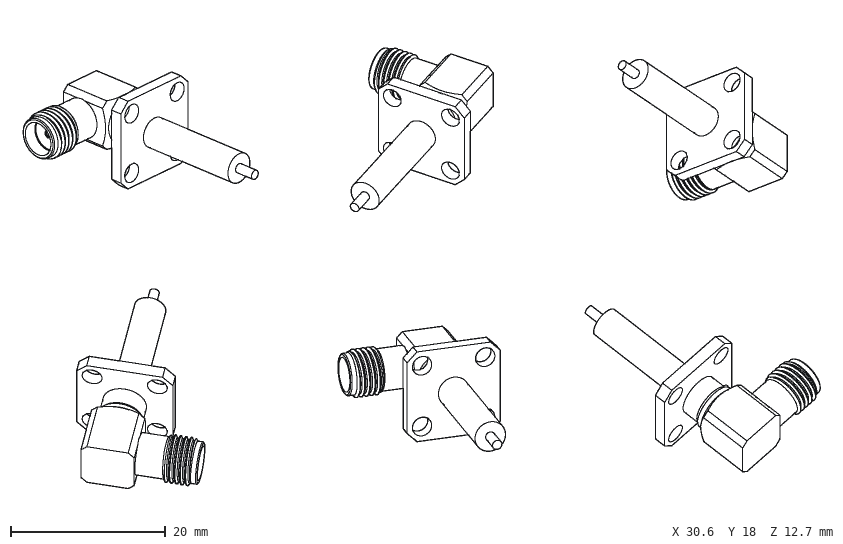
import cadquery as cq

total_length = 30.6

block_width = 7.05
block_edge_chamfer = 0.8
block_flat_end = 7.47
corner_cone_start = 6.92

collar_start = 7.68
collar_bevel_start = 8.32
neck_start = 8.75
collar_radius = 3.18
neck_radius = 2.88

flange_start = 11.17
flange_thickness = 1.65
flange_width = 12.7
flange_corner_chamfer = 1.35
mount_hole_diameter = 2.6
mount_hole_spacing = 8.6

cable_end = 27.8
cable_radius = 2.08
conductor_radius = 0.65

thread_radius = 3.15
barrel_x = thread_radius
barrel_radius = 2.78
total_depth = 18.02
barrel_length = total_depth - flange_width / 2
barrel_end_chamfer = 0.15

thread_pitch = 0.7
thread_root_width = 0.6
thread_crest_width = 0.1
thread_start = 7.07
thread_end = 10.85
thread_lead_in = 0.67
thread_turns = 8
thread_overlap = 0.1

mouth_radius = 2.25
mouth_depth = 1.9
mouth_floor_bevel = 0.1
socket_outer_radius = 0.55
socket_bore_radius = 0.43
socket_depth = 1.85
socket_groove_depth = 0.15


def make_block():
    """Square block with bevelled long edges and a conically turned front end."""
    block = (
        cq.Workplane("YZ")
        .rect(block_width, block_width)
        .extrude(collar_start)
        .edges("|X")
        .chamfer(block_edge_chamfer)
    )
    half_width = block_width / 2
    corner_radius = (half_width**2 + (half_width - block_edge_chamfer) ** 2) ** 0.5
    turned_envelope = (
        cq.Workplane("XY")
        .moveTo(0, 0)
        .lineTo(0, corner_radius)
        .lineTo(corner_cone_start, corner_radius)
        .lineTo(block_flat_end, half_width)
        .lineTo(collar_start, collar_radius)
        .lineTo(collar_start, 0)
        .close()
        .revolve(360, (0, 0, 0), (1, 0, 0))
    )
    return block.intersect(turned_envelope)


def make_shaft():
    """Collar, neck, cable and conductor, turned about the X axis."""
    return (
        cq.Workplane("XY")
        .moveTo(block_width / 2, 0)
        .lineTo(block_width / 2, neck_radius)
        .lineTo(collar_start, neck_radius)
        .lineTo(collar_start, collar_radius)
        .lineTo(collar_bevel_start, collar_radius)
        .lineTo(neck_start, neck_radius)
        .lineTo(flange_start, neck_radius)
        .lineTo(flange_start, cable_radius)
        .lineTo(cable_end, cable_radius)
        .lineTo(cable_end, conductor_radius)
        .lineTo(total_length, conductor_radius)
        .lineTo(total_length, 0)
        .close()
        .revolve(360, (0, 0, 0), (1, 0, 0))
    )


def make_flange():
    """Square plate with bevelled corners; the shaft fills its centre."""
    return (
        cq.Workplane("YZ", origin=(flange_start, 0, 0))
        .rect(flange_width, flange_width)
        .extrude(flange_thickness)
        .edges("|X")
        .chamfer(flange_corner_chamfer)
        .faces(">X")
        .workplane()
        .rect(mount_hole_spacing, mount_hole_spacing, forConstruction=True)
        .vertices()
        .hole(mount_hole_diameter)
    )


def barrel_plane(distance):
    """Plane across the barrel, facing -Y, at a distance from the main axis."""
    return cq.Workplane("XZ", origin=(barrel_x, -distance, 0))


def make_barrel():
    """Round barrel with a bevelled end, reaching from the main axis along -Y."""
    return (
        barrel_plane(0)
        .circle(barrel_radius)
        .extrude(barrel_length)
        .faces("<Y")
        .chamfer(barrel_end_chamfer)
    )


def make_thread():
    """Right-handed ridge wound along Z, tapered out at both ends, then laid along the barrel."""
    root_radius = barrel_radius - thread_overlap
    helix = cq.Wire.makeHelix(thread_pitch, thread_pitch * thread_turns, root_radius)
    ridge = (
        cq.Workplane("XZ")
        .moveTo(root_radius, -thread_root_width / 2)
        .lineTo(thread_radius, -thread_crest_width / 2)
        .lineTo(thread_radius, thread_crest_width / 2)
        .lineTo(root_radius, thread_root_width / 2)
        .close()
        .sweep(cq.Workplane(helix), isFrenet=True)
    )
    thread_length = thread_end - thread_start
    taper_rise = thread_radius - barrel_radius + thread_overlap
    tapered_envelope = (
        cq.Workplane("XZ")
        .moveTo(0, 0)
        .lineTo(barrel_radius, 0)
        .lineTo(barrel_radius + taper_rise, taper_rise)
        .lineTo(barrel_radius + taper_rise, thread_length - taper_rise)
        .lineTo(barrel_radius, thread_length)
        .lineTo(0, thread_length)
        .close()
        .revolve(360, (0, 0, 0), (0, 1, 0))
    )
    thread = ridge.translate((0, 0, -thread_lead_in)).intersect(tapered_envelope)
    return thread.rotate((0, 0, 0), (1, 0, 0), 90).translate((barrel_x, -thread_start, 0))


def make_mouth():
    """Open bore of the barrel with the centre contact's socket in its floor."""
    floor = barrel_length - mouth_depth
    bore = barrel_plane(floor).circle(mouth_radius).extrude(mouth_depth)
    bore = bore.faces(">Y").chamfer(mouth_floor_bevel)
    socket = barrel_plane(floor - socket_depth).circle(socket_bore_radius).extrude(socket_depth)
    groove = (
        barrel_plane(floor - socket_groove_depth)
        .circle(socket_outer_radius)
        .circle(socket_bore_radius)
        .extrude(socket_groove_depth)
    )
    return bore.union(socket).union(groove)


result = (
    make_block()
    .union(make_shaft())
    .union(make_flange())
    .union(make_barrel())
    .union(make_thread())
    .cut(make_mouth())
)